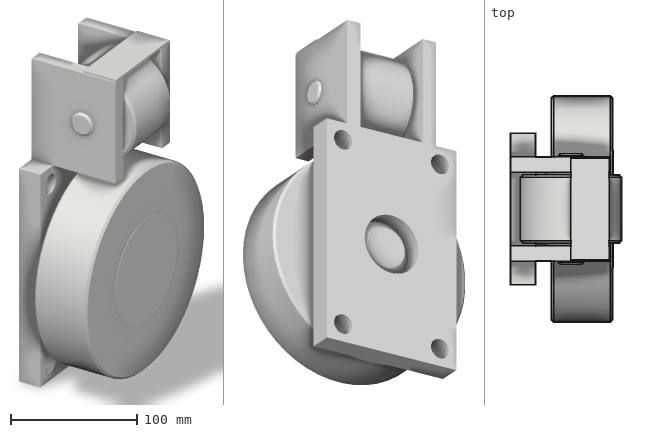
import cadquery as cq

plate_thickness = 20.0
plate_width = 120.0
plate_height = 190.0
bolt_hole_diameter = 16.5
bolt_spacing_y = 90.0
bolt_spacing_z = 160.0

wheel_diameter = 179.0
wheel_width = 48.8
wheel_chamfer = 2.0
wheel_start = 32.1
wheel_z = plate_height / 2
hub_diameter = 60.0
axle_diameter = 50.0
axle_chamfer = 8.0
axle_recess = 8.0
face_disc_diameter = 92.0
face_disc_height = 0.3

overall_height = 282
cover_thickness = 2.0
cover_width = 80.0
cheek_thickness = 12.0
cheek_gap = 58.0
cheek_depth = 78.0
cheek_top = overall_height - cover_thickness
cheek_height = cheek_top - plate_height

roller_diameter = 80.0
roller_width = 54.0
roller_chamfer = 2.0
roller_x = 48.0
roller_z = plate_height + cheek_height / 2
spacer_diameter = 40.0
pin_diameter = 20.0
pin_chamfer = 1.7
pin_overhang = 2.5
pin_length = cheek_gap + 2 * (cheek_thickness + pin_overhang)


def box(x_start, depth, y_center, width, z_start, height):
    """Box given by its back and bottom faces and its middle in Y."""
    solid = cq.Workplane("XY").box(depth, width, height, centered=(False, True, False))
    return solid.translate((x_start, y_center, z_start))


def wheel_cylinder(diameter, x_start, length):
    """Cylinder along X on the large wheel's axis."""
    plane = cq.Workplane("YZ", origin=(x_start, 0, wheel_z))
    return plane.circle(diameter / 2).extrude(length)


def roller_cylinder(diameter, length):
    """Cylinder along Y on the roller's axis, centered between the cheeks."""
    plane = cq.Workplane("XZ", origin=(roller_x, 0, roller_z))
    return plane.circle(diameter / 2).extrude(length / 2, both=True)


def make_plate():
    plate = box(0, plate_thickness, 0, plate_width, 0, plate_height)
    bolt_holes = (
        cq.Workplane("YZ", origin=(0, 0, plate_height / 2))
        .rect(bolt_spacing_y, bolt_spacing_z, forConstruction=True)
        .vertices()
        .circle(bolt_hole_diameter / 2)
        .extrude(plate_thickness)
    )
    axle_bore = wheel_cylinder(axle_diameter, 0, plate_thickness)
    return plate.cut(bolt_holes).cut(axle_bore)


def make_wheel():
    wheel = wheel_cylinder(wheel_diameter, wheel_start, wheel_width).edges().chamfer(wheel_chamfer)
    wheel_end = wheel_start + wheel_width
    hub = wheel_cylinder(hub_diameter, plate_thickness, wheel_start - plate_thickness)
    axle = wheel_cylinder(axle_diameter, axle_recess, wheel_start - axle_recess)
    axle = axle.faces("<X").chamfer(axle_chamfer)
    face_disc = wheel_cylinder(face_disc_diameter, wheel_end, face_disc_height)
    return wheel.union(hub).union(axle).union(face_disc)


def make_fork():
    cheek_y = (cheek_gap + cheek_thickness) / 2
    cover_depth = cheek_depth - roller_x
    fork = box(roller_x, cover_depth, 0, cover_width, cheek_top, cover_thickness)
    for side in (-1, 1):
        cheek = box(0, cheek_depth, side * cheek_y, cheek_thickness, plate_height, cheek_height)
        fork = fork.union(cheek)
    return fork


def make_roller():
    roller = roller_cylinder(roller_diameter, roller_width).edges().chamfer(roller_chamfer)
    spacers = roller_cylinder(spacer_diameter, cheek_gap)
    pin = roller_cylinder(pin_diameter, pin_length).edges().chamfer(pin_chamfer)
    return roller.union(spacers).union(pin)


result = make_plate().union(make_wheel()).union(make_fork()).union(make_roller())